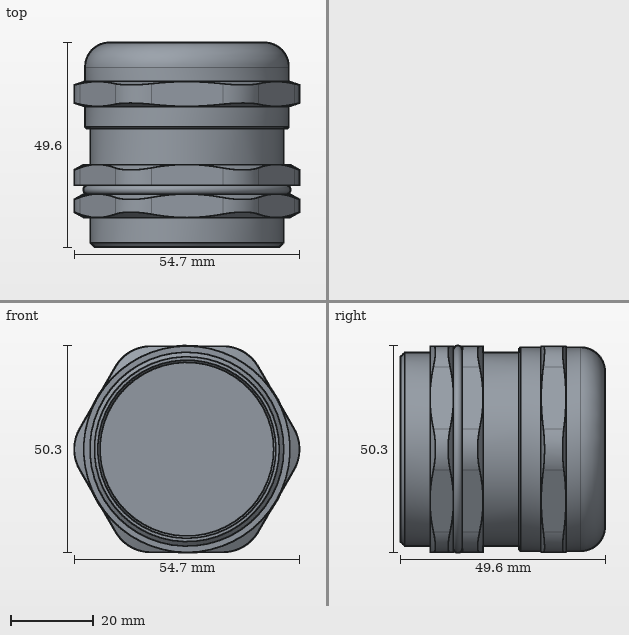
import cadquery as cq

total_length = 49.6
body_diameter = 47
cap_diameter = 49.5
body_chamfer = 1.1

recess_mouth_diameter = 43.15
recess_floor_diameter = 42.1
recess_depth = 0.55

across_flats = 50.0
across_corners = 54.65
front_hex_start = 7.15
front_hex_end = 12.85
middle_hex_end = 20.0
cap_hex_start = 34.05
cap_hex_end = 40.15
hex_bevel = 1.3
cap_hex_bevel = 0.9
envelope_margin = 0.3

ring_diameter = 50.3
ring_width = 2.15
middle_hex_start = front_hex_end + ring_width

cap_start = 28.7
cap_edge_chamfer = 0.45
cap_fillet = 6


def cylinder(diameter, start, end):
    """Solid cylinder along +Y between two positions."""
    plane = cq.Workplane("XZ", origin=(0, start, 0))
    return plane.circle(diameter / 2).extrude(start - end)


def revolve_about_y(profile):
    """Turn a closed XY profile a full revolution about the Y axis."""
    return profile.revolve(360, (0, 0, 0), (0, 1, 0))


def hex_collar(start, end, front_bevel, back_bevel, bevel_diameter):
    """Rounded hexagon with flats facing +Z and -Z and conical bevels from bevel_diameter outwards."""
    corner_radius = across_corners / 2
    bevel_radius = bevel_diameter / 2
    sharp_radius = across_flats / 3**0.5
    rounding = (sharp_radius - corner_radius) / (2 / 3**0.5 - 1)
    plane = cq.Workplane("XZ", origin=(0, start, 0))
    prism = plane.polygon(6, 2 * sharp_radius).extrude(start - end).edges("|Y").fillet(rounding)

    outer_radius = corner_radius + envelope_margin
    bevel_growth = (outer_radius - bevel_radius) / (corner_radius - bevel_radius)
    points = [(0, start)]
    if front_bevel > 0:
        points += [(bevel_radius, start)]
    points += [(outer_radius, start + front_bevel * bevel_growth)]
    points += [(outer_radius, end - back_bevel * bevel_growth)]
    points += [(bevel_radius, end), (0, end)]
    envelope = revolve_about_y(cq.Workplane("XY").polyline(points).close())
    return prism.intersect(envelope)


def sealing_ring():
    """Ring with a half-round outer edge, solid to the axis."""
    section_radius = ring_width / 2
    centre_radius = ring_diameter / 2 - section_radius
    profile = (
        cq.Workplane("XY")
        .moveTo(0, front_hex_end)
        .lineTo(centre_radius, front_hex_end)
        .threePointArc(
            (ring_diameter / 2, front_hex_end + section_radius),
            (centre_radius, middle_hex_start),
        )
        .lineTo(0, middle_hex_start)
        .close()
    )
    return revolve_about_y(profile)


def recess():
    """Tapered disc removed from the front face."""
    points = [
        (0, 0),
        (recess_mouth_diameter / 2, 0),
        (recess_floor_diameter / 2, recess_depth),
        (0, recess_depth),
    ]
    return revolve_about_y(cq.Workplane("XY").polyline(points).close())


body = cylinder(body_diameter, 0, cap_start).faces("<Y").chamfer(body_chamfer)
cap = cylinder(cap_diameter, cap_start, total_length)
cap = cap.faces(">Y").edges().fillet(cap_fillet)
cap = cap.faces("<Y").edges().chamfer(cap_edge_chamfer)

result = (
    body.union(cap)
    .union(hex_collar(front_hex_start, front_hex_end, hex_bevel, hex_bevel, across_flats))
    .union(hex_collar(middle_hex_start, middle_hex_end, 0, hex_bevel, across_flats))
    .union(hex_collar(cap_hex_start, cap_hex_end, cap_hex_bevel, cap_hex_bevel, cap_diameter))
    .union(sealing_ring())
    .cut(recess())
)